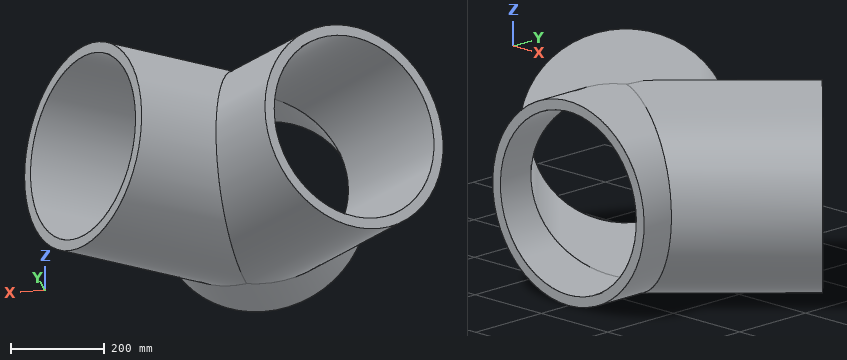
import cadquery as cq
import math

outer_diameter = 457.0
bore_diameter = 409.0
overall_width = 916.0
overall_depth = 636.0
branch_angle = 45.0

outer_radius = outer_diameter / 2
splay = math.radians(branch_angle)
branch_length = (overall_width / 2 - outer_radius * math.cos(splay)) / math.sin(splay)

branch_reach = branch_length * math.cos(splay) + outer_radius * math.sin(splay)
inlet_length = overall_depth - branch_reach

legs = [(cq.Vector(0, -1, 0), inlet_length)]
for side in (-1, 1):
    direction = cq.Vector(side * math.sin(splay), math.cos(splay), 0)
    legs.append((direction, branch_length))


def joined_legs(diameter):
    """Union of three cylinders of one diameter running out from the junction."""
    cylinders = [
        cq.Solid.makeCylinder(diameter / 2, length, cq.Vector(0, 0, 0), direction)
        for direction, length in legs
    ]
    body = cq.Workplane(cylinders[0])
    for cylinder in cylinders[1:]:
        body = body.union(cq.Workplane(cylinder))
    return body


result = joined_legs(outer_diameter).cut(joined_legs(bore_diameter))